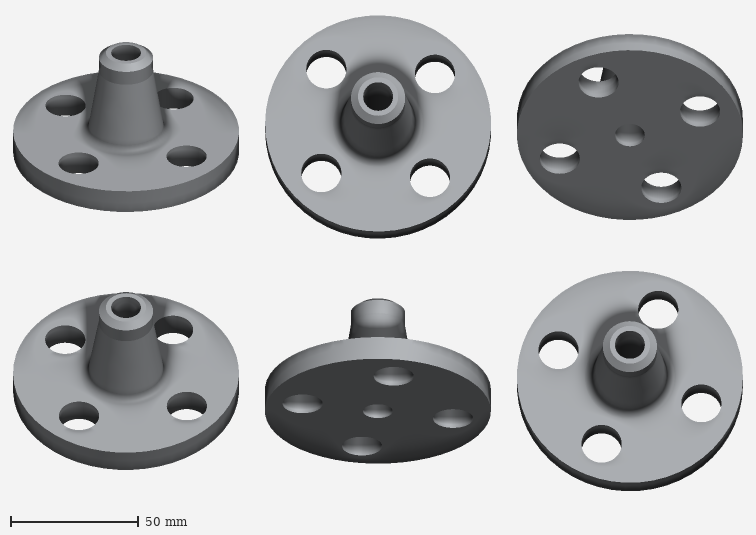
import cadquery as cq

flange_diameter = 88.9
flange_thickness = 9.6

bolt_hole_count = 4
bolt_hole_diameter = 15.8
bolt_circle_diameter = 60.4

total_height = 45.95
hub_base_diameter = 30.3
collar_diameter = 21.3
collar_length = 5.95
bevel_height = 2.1
tip_diameter = 15.8
hub_fillet_radius = 3.0

bore_diameter = 11.7


def make_body():
    """Revolve the flange and hub half-section about Z, then round the hub root."""
    bevel_bottom = total_height - bevel_height
    collar_bottom = bevel_bottom - collar_length
    half_section = (
        cq.Workplane("XZ")
        .moveTo(0, 0)
        .lineTo(flange_diameter / 2, 0)
        .lineTo(flange_diameter / 2, flange_thickness)
        .lineTo(hub_base_diameter / 2, flange_thickness)
        .lineTo(collar_diameter / 2, collar_bottom)
        .lineTo(collar_diameter / 2, bevel_bottom)
        .lineTo(tip_diameter / 2, total_height)
        .lineTo(0, total_height)
        .close()
    )
    body = half_section.revolve(360, (0, 0, 0), (0, 1, 0))
    root_margin = 0.1
    root_box = cq.selectors.BoxSelector(
        (-hub_base_diameter, -hub_base_diameter, flange_thickness - root_margin),
        (hub_base_diameter, hub_base_diameter, flange_thickness + root_margin),
        boundingbox=True,
    )
    return body.edges(root_box).fillet(hub_fillet_radius)


def make_bore():
    """Straight cylinder for the through bore."""
    return cq.Workplane("XY").circle(bore_diameter / 2).extrude(total_height)


def make_bolt_holes():
    """Cylinders for the bolt holes, the first one on the +X axis."""
    return (
        cq.Workplane("XY")
        .polarArray(bolt_circle_diameter / 2, 0, 360, bolt_hole_count)
        .circle(bolt_hole_diameter / 2)
        .extrude(flange_thickness)
    )


result = make_body().cut(make_bore()).cut(make_bolt_holes())